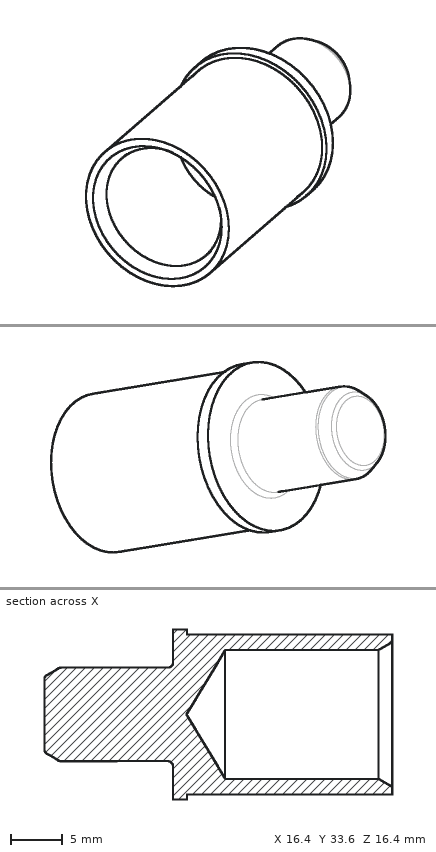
import cadquery as cq
import math

total_length = 33.62
socket_length = 19.8
flange_thickness = 1.38

socket_diameter = 15.5
flange_diameter = 16.45
pin_diameter = 9.08

tip_length = 1.5
tip_taper_angle = 30.0
tip_edge_radius = 0.5
shoulder_radius = 0.5
root_radius = 0.5

bore_diameter = 12.4
mouth_diameter = 13.95
mouth_depth = 1.35
bore_depth = 16.15
drill_point_angle = 118.0

flange_back = socket_length + flange_thickness
front_face = -total_length / 2


def revolve_about_y(profile):
    """Turn a closed radius/length profile into a solid around the Y axis."""
    return profile.close().revolve(360, (0, 0, 0), (0, 1, 0))


def make_body():
    socket_radius = socket_diameter / 2
    flange_radius = flange_diameter / 2
    pin_radius = pin_diameter / 2
    tip_radius = pin_radius - tip_length * math.tan(math.radians(tip_taper_angle))
    profile = (
        cq.Workplane("XY")
        .moveTo(0, 0)
        .lineTo(socket_radius, 0)
        .lineTo(socket_radius, socket_length)
        .lineTo(flange_radius, socket_length)
        .lineTo(flange_radius, flange_back)
        .lineTo(pin_radius + root_radius, flange_back)
        .radiusArc((pin_radius, flange_back + root_radius), root_radius)
        .lineTo(pin_radius, total_length - tip_length)
        .lineTo(tip_radius, total_length)
        .lineTo(0, total_length)
    )
    body = revolve_about_y(profile)
    body = body.faces(">Y").edges().fillet(tip_edge_radius)
    shoulder_y = total_length - tip_length
    shoulder = cq.selectors.BoxSelector(
        (-pin_diameter, shoulder_y - shoulder_radius, -pin_diameter),
        (pin_diameter, shoulder_y + shoulder_radius, pin_diameter),
        boundingbox=True,
    )
    return body.edges(shoulder).fillet(shoulder_radius)


def make_bore():
    bore_radius = bore_diameter / 2
    point_length = bore_radius / math.tan(math.radians(drill_point_angle / 2))
    profile = (
        cq.Workplane("XY")
        .moveTo(0, 0)
        .lineTo(mouth_diameter / 2, 0)
        .lineTo(bore_radius, mouth_depth)
        .lineTo(bore_radius, bore_depth)
        .lineTo(0, bore_depth + point_length)
    )
    return revolve_about_y(profile)


result = make_body().cut(make_bore()).translate((0, front_face, 0))